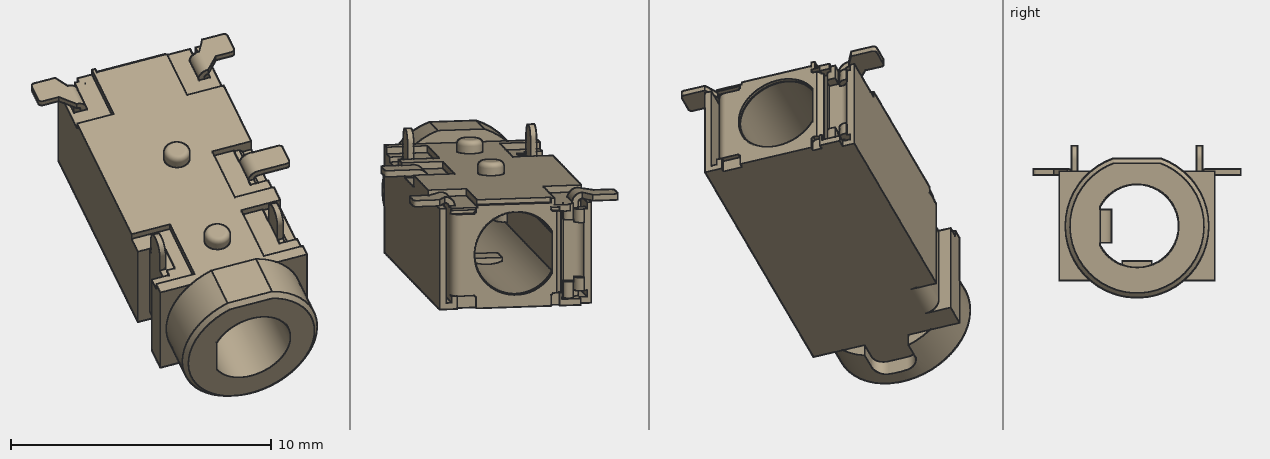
import cadquery as cq


total_length = 14.0
housing_length = 11.98
housing_width = 5.99
half_width = housing_width / 2
housing_top = 2.11
housing_bottom = -2.1
collar_radius = 2.76
collar_flat_z = 2.6
collar_chamfer = 0.18

keyway_end = 13.23
keyway_width = 1.79
keyway_corner_radius = 0.49

bore_radius = 1.6
bore_mouth_radius = 1.62
bore_mouth_depth = 0.14
bore_flat_y = -1.41
side_contact_reach = 0.43
side_contact_x = 10.22
side_contact_height = 1.29
floor_contact_length = 1.01
floor_contact_width = 1.15
floor_contact_top = -1.35
floor_contact_thickness = 0.36
floor_contact_x = 6.78

peg_radius = 0.5
peg_rounding = 0.2
peg_centers_x = (5.5, 10.11)

recess_floor = 1.85
front_recess_length = 2.49
front_recess_inner_y = 1.5
rear_recess_end = 11.51
plus_recess_inner_y = 1.4
plus_recess_length = 2.58
middle_recess_start = 5.63
minus_recess_start = 8.71
minus_recess_inner_y = -1.43

sheet = 0.24
sheet_inner_y = 2.28
sheet_outer_y = sheet_inner_y + sheet
inner_bend_radius = 0.17
sheet_bend_radius = sheet + inner_bend_radius
tab_top = 2.2
tab_bottom = tab_top - sheet
overall_width = 8.0
tab_reach = overall_width / 2
tab_flare_y = 3.2
tab_nose_y = 3.0
tab_width = 1.01
tab_corner_radius = 0.14
middle_tab_start = 6.27
pin_start = 9.59
pin_tip = 3.1
pin_radius = tab_width / 2

notch_floor = 1.79
notch_length = 1.92
notch_slope_drop = 0.14
notch_slope_start = 2.5
window_start = 9.42
window_end = 10.99
window_bottom_radius = 0.55
relief_start = 9.7
relief_end = 10.72
relief_inner_y = -1.95

ledge_depth = 0.2
ledge_z = 1.93
plate_corner_chamfer = 0.08
inner_floor = -1.85
plate_low = -1.6
plate_high = 1.6
plate_plus_y = 1.55
plate_minus_y = -1.36
plate_edge_y = -1.79
minus_notch_outer_y = -1.71
top_slot_outer_y = 2.55
top_slot_ceiling = 1.76
wall_setback = 0.35
slot_end = 1.68
plus_slot_outer_y = 2.73
minus_slot_outer_y = -2.83
leg_start = 0.56
leg_end = 1.58
fold_radius = 0.34
plus_notch_outer_y = 2.31
plate_bevel = 0.21
pocket_inner_y = -1.89
pocket_outer_y = -2.42
post_outer_y = -2.27
post_start = 0.18
post_rounding = 0.18
lintel_edge_y = -2.1
post_reach = 0.63
lug_start = 0.24
lug_inner_y = -2.34
lug_outer_y = -2.7
lug_height = 0.52
lug_rounding = 0.28


def block(x0, x1, y0, y1, z0, z1):
    """Box between two opposite corners, given in any order along each axis."""
    size = (abs(x1 - x0), abs(y1 - y0), abs(z1 - z0))
    corner = (min(x0, x1), min(y0, y1), min(z0, z1))
    return cq.Workplane("XY").box(*size, centered=False).translate(corner)


def make_collar():
    """Round collar at the socket end, flattened on top and grooved underneath."""
    collar = (
        cq.Workplane("YZ").workplane(offset=housing_length)
        .circle(collar_radius).extrude(total_length - housing_length)
    )
    collar = collar.faces(">X").edges().chamfer(collar_chamfer)
    above_flat = (
        cq.Workplane("XZ").workplane(offset=-collar_radius)
        .moveTo(housing_length, collar_flat_z)
        .lineTo(total_length - collar_chamfer, collar_flat_z)
        .lineTo(total_length, collar_flat_z - collar_chamfer)
        .lineTo(total_length, collar_radius)
        .lineTo(housing_length, collar_radius)
        .close().extrude(2 * collar_radius)
    )
    collar = collar.cut(above_flat)
    keyway = block(housing_length - keyway_corner_radius, keyway_end, -keyway_width / 2, keyway_width / 2,
                   -collar_radius, housing_bottom)
    keyway = keyway.edges("|Z and >X").fillet(keyway_corner_radius)
    return collar.cut(keyway)


def cut_top_recesses(body):
    """Shallow recesses around the tabs and pins, with sloped notches on the +Y side."""
    above = housing_top
    for side in (1, -1):
        body = body.cut(block(0, front_recess_length, side * front_recess_inner_y, side * half_width,
                              recess_floor, above))
    for end in (middle_recess_start + plus_recess_length, rear_recess_end):
        start = end - plus_recess_length
        body = body.cut(block(start, end, plus_recess_inner_y, half_width, recess_floor, above))
        notch = (
            cq.Workplane("YZ").workplane(offset=start)
            .moveTo(sheet_inner_y, above)
            .lineTo(sheet_inner_y, notch_floor)
            .lineTo(notch_slope_start, notch_floor)
            .lineTo(notch_slope_start + notch_slope_drop, notch_floor - notch_slope_drop)
            .lineTo(half_width, notch_floor - notch_slope_drop)
            .lineTo(half_width, above)
            .close().extrude(notch_length)
        )
        body = body.cut(notch)
    body = body.cut(block(minus_recess_start, rear_recess_end, minus_recess_inner_y, -half_width,
                          recess_floor, above))
    return body.cut(block(relief_start, relief_end, relief_inner_y, -sheet_inner_y, notch_floor, above))


def cut_side_window(body):
    """Opening in the -Y wall that bares a contact plate rolled under at its foot."""
    body = body.cut(block(window_start, window_end, -sheet_inner_y, -half_width, notch_floor, housing_top))
    r = window_bottom_radius
    opening = (
        cq.Workplane("YZ").workplane(offset=window_start)
        .moveTo(-half_width, housing_top)
        .lineTo(-sheet_outer_y, housing_top)
        .lineTo(-sheet_outer_y, housing_bottom + r)
        .radiusArc((-sheet_outer_y + r, housing_bottom), -r)
        .lineTo(-half_width, housing_bottom)
        .close().extrude(window_end - window_start)
    )
    return body.cut(opening)


def cut_front_plate(body):
    """Ledge, top slots and bottom notches around the plate that holds the bore mouth."""
    body = body.cut(block(0, ledge_depth, plate_plus_y, plate_minus_y, ledge_z, housing_top))
    plus_slot = block(0, ledge_depth, plate_plus_y, top_slot_outer_y, plate_high, top_slot_ceiling)
    minus_slot = block(0, ledge_depth, plate_minus_y, minus_notch_outer_y, plate_high, top_slot_ceiling)
    body = body.cut(plus_slot.edges("|X and <Z and <Y").chamfer(plate_corner_chamfer))
    body = body.cut(minus_slot.edges("|X and <Z and >Y").chamfer(plate_corner_chamfer))
    plus_notch = block(0, ledge_depth, plate_plus_y, plus_notch_outer_y, housing_bottom, plate_low)
    minus_notch = block(0, ledge_depth, plate_minus_y, minus_notch_outer_y, housing_bottom, plate_low)
    body = body.cut(plus_notch.edges("|X and >Z and <Y").chamfer(plate_corner_chamfer))
    return body.cut(minus_notch.edges("|X and >Z and >Y").chamfer(plate_corner_chamfer))


def cut_plus_slot(body):
    """Slot inside the +Y wall, beside the folded edge of the front plate."""
    body = body.cut(block(0, slot_end, sheet_outer_y, plus_slot_outer_y, inner_floor, housing_top))
    body = body.cut(block(leg_start, slot_end, sheet_inner_y, sheet_outer_y, inner_floor, housing_top))
    corner = block(0, fold_radius, sheet_outer_y - fold_radius, sheet_outer_y, plate_low, plate_high)
    fold = (
        cq.Workplane("XY").workplane(offset=plate_low)
        .center(fold_radius, sheet_outer_y - fold_radius)
        .circle(fold_radius).extrude(plate_high - plate_low)
    )
    return body.cut(corner.cut(fold))


def cut_minus_slot(body):
    """Set-back -Y wall with a contact pocket and slot behind it, keeping a sill and a lintel."""
    setback = block(0, wall_setback, plate_edge_y, -half_width, housing_bottom, housing_top)
    sill = block(0, wall_setback, minus_notch_outer_y, -sheet_outer_y, housing_bottom, inner_floor)
    lintel = block(0, wall_setback, minus_notch_outer_y, lintel_edge_y, plate_high, recess_floor)
    body = body.cut(setback.cut(sill).cut(lintel))
    bevel = (
        cq.Workplane("XY").workplane(offset=plate_low)
        .moveTo(0, plate_edge_y)
        .lineTo(0, plate_edge_y + plate_bevel)
        .lineTo(plate_bevel, plate_edge_y)
        .close().extrude(plate_high - plate_low)
    )
    body = body.cut(bevel)
    body = body.cut(block(wall_setback, leg_start, pocket_inner_y, pocket_outer_y, inner_floor, recess_floor))
    slot = block(wall_setback, slot_end, -sheet_inner_y, minus_slot_outer_y, inner_floor, housing_top)
    return body.cut(slot)


def make_pocket_posts():
    """Rounded posts at the top and bottom of the contact pocket."""
    posts = cq.Workplane("XY")
    for low, high in ((inner_floor, inner_floor + post_reach), (recess_floor - post_reach, recess_floor)):
        post = block(post_start, leg_start, pocket_inner_y, post_outer_y, low, high)
        posts = posts.add(post.edges("|Z and <X and >Y").fillet(post_rounding))
    return posts.combine()


def make_pocket_fold():
    """Inside corner where the pocket floor curves forward into the -Y wall."""
    fold_reach = pocket_outer_y - lug_outer_y
    fold = block(wall_setback, leg_start + sheet, pocket_outer_y, minus_slot_outer_y, plate_low, plate_high)
    hollow = (
        cq.Workplane("XY").workplane(offset=plate_low)
        .center(leg_start - fold_reach, pocket_outer_y)
        .circle(fold_reach).extrude(plate_high - plate_low)
    )
    return fold.cut(hollow)


def cut_bore(body):
    """Through bore with a flat on its -Y side and a slightly wider mouth."""
    bore = cq.Workplane("YZ").circle(bore_radius).extrude(total_length)
    mouth = cq.Workplane("YZ").circle(bore_mouth_radius).extrude(bore_mouth_depth)
    kept_side = block(0, total_length, bore_flat_y, half_width, -half_width, half_width)
    return body.cut(bore.union(mouth).intersect(kept_side))


def make_bore_contacts():
    """Rounded side contact and flat floor contact that reach into the bore."""
    side_contact = (
        cq.Workplane("XY").workplane(offset=-side_contact_height / 2)
        .center(side_contact_x, bore_flat_y)
        .circle(side_contact_reach).extrude(side_contact_height)
    )
    floor_contact = cq.Workplane("XY").box(
        floor_contact_length, floor_contact_width, floor_contact_thickness
    ).translate((floor_contact_x, 0, floor_contact_top - floor_contact_thickness / 2))
    return side_contact.union(floor_contact)


def make_peg(center_x):
    """Locating peg with a rounded top rim, level with the collar flat."""
    peg = cq.Workplane("XY").workplane(offset=housing_top).center(center_x, 0)
    peg = peg.circle(peg_radius).extrude(collar_flat_z - housing_top)
    return peg.faces(">Z").edges().fillet(peg_rounding)


def make_leg(start, end, foot):
    """Upright sheet on the +Y side, its top bent outward under a tab."""
    r = sheet_bend_radius
    bend_end_y = sheet_inner_y + r
    return (
        cq.Workplane("YZ").workplane(offset=start)
        .moveTo(sheet_inner_y, foot)
        .lineTo(sheet_inner_y, tab_top - r)
        .radiusArc((bend_end_y, tab_top), r)
        .lineTo(bend_end_y, tab_bottom)
        .radiusArc((sheet_outer_y, tab_top - r), -inner_bend_radius)
        .lineTo(sheet_outer_y, foot)
        .close().extrude(end - start)
    )


def make_front_tab():
    """Front solder tab on the +Y side, flared toward its leg."""
    root_y = sheet_inner_y + sheet_bend_radius
    plate = (
        cq.Workplane("XY").workplane(offset=tab_bottom)
        .moveTo(0, tab_nose_y)
        .lineTo(leg_start, root_y)
        .lineTo(leg_end, root_y)
        .lineTo(tab_width, tab_flare_y)
        .lineTo(tab_width, tab_reach)
        .lineTo(0, tab_reach)
        .close().extrude(sheet)
    )
    plate = plate.edges("|Z and >Y").fillet(tab_corner_radius)
    return plate.union(make_leg(leg_start, leg_end, inner_floor))


def make_middle_tab():
    """Straight solder tab on the +Y side, bent out of its leg."""
    end = middle_tab_start + tab_width
    plate = block(middle_tab_start, end, sheet_inner_y + sheet_bend_radius, tab_reach, tab_bottom, tab_top)
    plate = plate.edges("|Z and >Y").fillet(tab_corner_radius)
    return plate.union(make_leg(middle_tab_start, end, notch_floor - notch_slope_drop))


def make_pin(side):
    """Round-ended upright pin of sheet metal."""
    outline = (
        cq.Workplane("XZ")
        .moveTo(pin_start, notch_floor)
        .lineTo(pin_start, pin_tip - pin_radius)
        .threePointArc((pin_start + pin_radius, pin_tip), (pin_start + tab_width, pin_tip - pin_radius))
        .lineTo(pin_start + tab_width, notch_floor)
        .close().extrude(sheet)
    )
    outer_edge = sheet_outer_y if side > 0 else -sheet_inner_y
    return outline.translate((0, outer_edge, 0))


def make_lugs():
    """Pair of rounded lugs on the front edge of the -Y leg."""
    upper = block(lug_start, leg_start, lug_inner_y, lug_outer_y, plate_high - lug_height, plate_high)
    upper = upper.edges("|Z and <X and >Y").fillet(lug_rounding)
    return upper.union(upper.mirror("XY"))


body = block(0, housing_length, -half_width, half_width, housing_bottom, housing_top)
body = cut_top_recesses(body)
body = cut_side_window(body)
body = cut_front_plate(body)
body = cut_plus_slot(body)
body = cut_minus_slot(body)
body = body.union(make_collar())
body = cut_bore(body)
body = body.union(make_bore_contacts())
for peg_x in peg_centers_x:
    body = body.union(make_peg(peg_x))
front_tab = make_front_tab()
body = body.union(front_tab).union(front_tab.mirror("XZ"))
body = body.union(make_middle_tab())
for pin_side in (1, -1):
    body = body.union(make_pin(pin_side))
body = body.union(make_pocket_posts()).union(make_pocket_fold())
result = body.union(make_lugs())